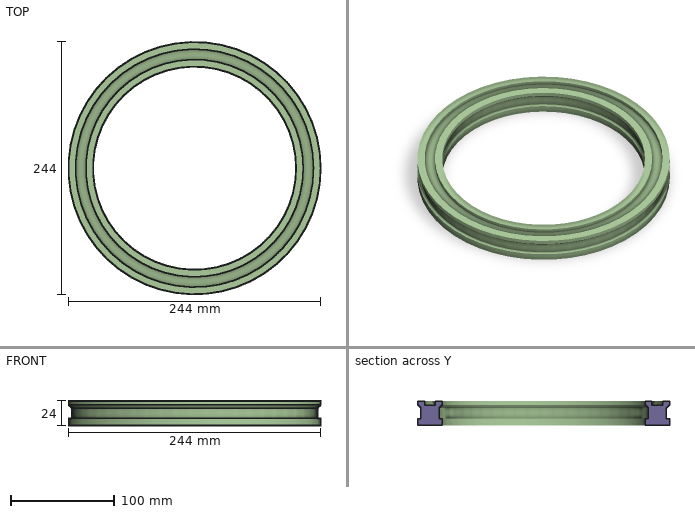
import cadquery as cq

outer_diameter = 244.0
bore_diameter = 196.0
height = 24.0

flange_height = 7.0
wall_recess = 3.0
rim_height = flange_height - wall_recess

groove_outer_diameter = 230.0
groove_inner_diameter = 210.0
groove_depth = 4.0

outer_radius = outer_diameter / 2
bore_radius = bore_diameter / 2
outer_wall_radius = outer_radius - wall_recess
inner_wall_radius = bore_radius + wall_recess
groove_outer_radius = groove_outer_diameter / 2
groove_inner_radius = groove_inner_diameter / 2

lower_flange_top = flange_height
bevel_bottom = height - flange_height
bevel_top = height - rim_height
groove_floor = height - groove_depth


def ring_section():
    """Half section of the ring, drawn as radius against height."""
    return (
        cq.Workplane("XZ")
        .moveTo(bore_radius, 0)
        .lineTo(outer_radius, 0)
        .lineTo(outer_radius, lower_flange_top)
        .lineTo(outer_wall_radius, lower_flange_top)
        .lineTo(outer_wall_radius, bevel_bottom)
        .lineTo(outer_radius, bevel_top)
        .lineTo(outer_radius, height)
        .lineTo(groove_outer_radius, height)
        .lineTo(groove_outer_radius, groove_floor)
        .lineTo(groove_inner_radius, groove_floor)
        .lineTo(groove_inner_radius, height)
        .lineTo(bore_radius, height)
        .lineTo(bore_radius, bevel_top)
        .lineTo(inner_wall_radius, bevel_bottom)
        .lineTo(inner_wall_radius, lower_flange_top)
        .lineTo(bore_radius, lower_flange_top)
        .close()
    )


result = ring_section().revolve(360, (0, 0, 0), (0, 1, 0))